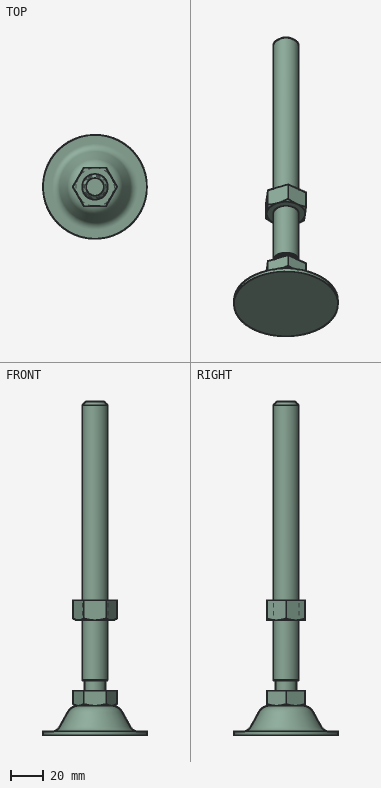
import cadquery as cq
import math


total_height = 208.0

plate_radius = 32.5
flange_thickness = 2.5
flare_start_radius = 26.6
flare_radius = 5.0
shoulder_radius = 7.5
cone_angle = math.radians(61)
plate_height = 18.5

width_across_flats = 24.0
corner_diameter = width_across_flats / math.cos(math.radians(30))
hex_chamfer_angle = math.radians(30)

spindle_hex_height = 9.4
neck_radius = 6.7
neck_length = 6.0
rod_radius = 8.0
rod_lower_chamfer = 0.6
rod_upper_chamfer = 2.5

nut_bottom = 71.8
nut_height = 12.5


def make_foot_plate():
    """Solid of revolution: flat flange, concave flare, straight cone and convex shoulder."""
    sine = math.sin(cone_angle)
    cosine = math.cos(cone_angle)
    half_sine = math.sin(cone_angle / 2)
    half_cosine = math.cos(cone_angle / 2)

    flare_middle = (
        flare_start_radius - flare_radius * half_sine,
        flange_thickness + flare_radius * (1 - half_cosine),
    )
    cone_bottom = (
        flare_start_radius - flare_radius * sine,
        flange_thickness + flare_radius * (1 - cosine),
    )
    cone_top_height = plate_height - shoulder_radius * (1 - cosine)
    cone_top = (
        cone_bottom[0] - (cone_top_height - cone_bottom[1]) / math.tan(cone_angle),
        cone_top_height,
    )
    flat_top_radius = cone_top[0] - shoulder_radius * sine
    shoulder_middle = (
        flat_top_radius + shoulder_radius * half_sine,
        plate_height - shoulder_radius * (1 - half_cosine),
    )
    return (
        cq.Workplane("XZ")
        .lineTo(plate_radius, 0)
        .lineTo(plate_radius, flange_thickness)
        .lineTo(flare_start_radius, flange_thickness)
        .threePointArc(flare_middle, cone_bottom)
        .lineTo(*cone_top)
        .threePointArc(shoulder_middle, (flat_top_radius, plate_height))
        .lineTo(0, plate_height)
        .close()
        .revolve(360, (0, 0, 0), (0, 1, 0))
    )


def make_hexagon(bottom, height):
    """Hexagonal prism with corners on the X axis and its lower corners turned to a cone."""
    prism = cq.Workplane("XY").workplane(offset=bottom).polygon(6, corner_diameter).extrude(height)
    inner_radius = width_across_flats / 2
    outer_radius = corner_diameter
    chamfer_rise = (outer_radius - inner_radius) * math.tan(hex_chamfer_angle)
    turned_envelope = (
        cq.Workplane("XZ")
        .moveTo(0, bottom)
        .lineTo(inner_radius, bottom)
        .lineTo(outer_radius, bottom + chamfer_rise)
        .lineTo(outer_radius, bottom + height)
        .lineTo(0, bottom + height)
        .close()
        .revolve(360, (0, 0, 0), (0, 1, 0))
    )
    return prism.intersect(turned_envelope)


def make_spindle():
    """Hexagon standing on the plate, narrow neck, and long rod chamfered at both ends."""
    hexagon_top = plate_height + spindle_hex_height
    rod_bottom = hexagon_top + neck_length
    neck = cq.Workplane("XY").workplane(offset=hexagon_top).circle(neck_radius).extrude(neck_length)
    rod = (
        cq.Workplane("XY")
        .workplane(offset=rod_bottom)
        .circle(rod_radius)
        .extrude(total_height - rod_bottom)
        .faces("<Z")
        .chamfer(rod_lower_chamfer)
        .faces(">Z")
        .chamfer(rod_upper_chamfer)
    )
    return make_hexagon(plate_height, spindle_hex_height).union(neck).union(rod)


def make_lock_nut():
    """Hexagon nut bored to fit the rod."""
    bore = cq.Workplane("XY").workplane(offset=nut_bottom).circle(rod_radius).extrude(nut_height)
    return make_hexagon(nut_bottom, nut_height).cut(bore)


foot_plate = make_foot_plate()
spindle = make_spindle()
lock_nut = make_lock_nut()

result = cq.Compound.makeCompound([foot_plate.val(), spindle.val(), lock_nut.val()])